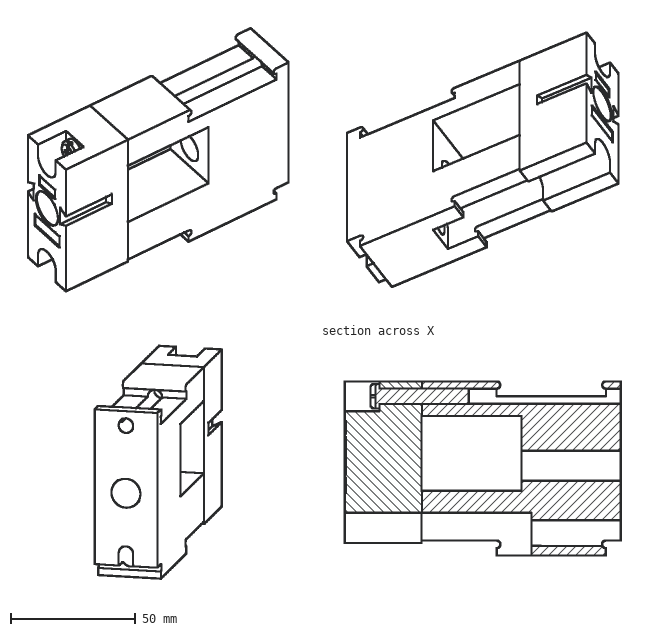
import cadquery as cq

WIDTH = 26.0
LENGTH = 111.0
HEIGHT = 70.0

COVER_DEPTH = 31.0
COVER_BOTTOM = 5.0

RAIL_DEPTH = 6.0
RAIL_FRONT = 61.0
RAIL_BACK = LENGTH - 6.0
BEAD_RADIUS = 1.5

WINDOW_DEPTH = 40.1
WINDOW_HEIGHT = 30.0
WINDOW_TOP = HEIGHT - 14.0
WINDOW_BOTTOM = WINDOW_TOP - WINDOW_HEIGHT
WINDOW_HOLE_DIAMETER = 12.0
WINDOW_HOLE_Z = WINDOW_BOTTOM + 10.0

SCREW_Z = HEIGHT - 6.0
SCREW_HOLE_DIAMETER = 6.0
SCREW_END = 50.0
SCREW_HEAD_DIAMETER = 10.0
SCREW_HEAD_HEIGHT = 3.7
SCREW_HEAD_CHAMFER = 1.0
DRIVE_WIDTH = 1.0
DRIVE_DEPTH = 2.0
DRIVE_CROSS_LENGTH = 4.0
ACCESS_WIDTH = 12.0
ACCESS_DEPTH = 14.0

LOWER_SLOT_Z = 11.1
LOWER_SLOT_DEPTH = RAIL_FRONT + ACCESS_DEPTH
CLEARANCE_WIDTH = 6.0
CLEARANCE_HEIGHT = 10.1

GROOVE_LENGTH = 22.9
GROOVE_DEPTH = 4.0
GROOVE_MOUTH = 5.0
GROOVE_FLOOR = 9.0
GROOVE_Z = HEIGHT - 27.5

LABEL_DEPTH = 0.5
LABEL_DIAMETER = 15.0
ROUND_LABEL_Z = HEIGHT - 30.0
UPPER_LABEL_SIZE = (11.0, 5.0)
UPPER_LABEL_Z = HEIGHT - 18.5
LOWER_LABEL_SIZE = (17.0, 6.0)
LOWER_LABEL_Z = HEIGHT - 41.8


def box(width, y_front, y_back, z_bottom, z_top):
    """Block centred on x = 0."""
    return cq.Workplane("XY").box(
        width, y_back - y_front, z_top - z_bottom, centered=(True, False, False)
    ).translate((0, y_front, z_bottom))


def front_sketch(y, z):
    """Sketch plane parallel to the front face; extruding by a negative length goes to +Y."""
    return cq.Workplane("XZ", origin=(0, y, z))


def cylinder(diameter, y_front, y_back, z):
    """Round bar along Y."""
    return front_sketch(y_front, z).circle(diameter / 2).extrude(y_front - y_back)


def lower_slot():
    """Arched slot, open at the bottom, running from the front through the cover into the foot."""
    arch = cylinder(ACCESS_WIDTH, 0, LOWER_SLOT_DEPTH, LOWER_SLOT_Z)
    return arch.union(box(ACCESS_WIDTH, 0, LOWER_SLOT_DEPTH, 0, LOWER_SLOT_Z))


def housing_profile():
    """Side outline: beaded rail slot on top, and a notched foot that fits such a slot."""
    bottom = RAIL_DEPTH
    rail_floor = HEIGHT - RAIL_DEPTH
    bead = 2 * BEAD_RADIUS
    return (
        cq.Workplane("YZ", origin=(-WIDTH / 2, 0, 0))
        .moveTo(COVER_DEPTH, bottom)
        .lineTo(RAIL_FRONT, bottom)
        .threePointArc((RAIL_FRONT + BEAD_RADIUS, bottom - BEAD_RADIUS), (RAIL_FRONT, bottom - bead))
        .lineTo(RAIL_FRONT, 0)
        .lineTo(RAIL_BACK, 0)
        .lineTo(RAIL_BACK, bottom - bead)
        .threePointArc((RAIL_BACK - BEAD_RADIUS, bottom - BEAD_RADIUS), (RAIL_BACK, bottom))
        .lineTo(LENGTH, bottom)
        .lineTo(LENGTH, HEIGHT)
        .lineTo(RAIL_BACK, HEIGHT)
        .threePointArc((RAIL_BACK - BEAD_RADIUS, HEIGHT - BEAD_RADIUS), (RAIL_BACK, HEIGHT - bead))
        .lineTo(RAIL_BACK, rail_floor)
        .lineTo(RAIL_FRONT, rail_floor)
        .lineTo(RAIL_FRONT, HEIGHT - bead)
        .threePointArc((RAIL_FRONT + BEAD_RADIUS, HEIGHT - BEAD_RADIUS), (RAIL_FRONT, HEIGHT))
        .lineTo(COVER_DEPTH, HEIGHT)
        .close()
    )


def make_housing():
    window_back = COVER_DEPTH + WINDOW_DEPTH
    window = box(WIDTH, COVER_DEPTH, window_back, WINDOW_BOTTOM, WINDOW_TOP)
    window_hole = cylinder(WINDOW_HOLE_DIAMETER, window_back, LENGTH, WINDOW_HOLE_Z)
    screw_hole = cylinder(SCREW_HOLE_DIAMETER, COVER_DEPTH, LENGTH, SCREW_Z)
    clearance_z = LOWER_SLOT_Z + CLEARANCE_WIDTH / 2 - CLEARANCE_HEIGHT / 2
    clearance_hole = (
        front_sketch(LOWER_SLOT_DEPTH, clearance_z)
        .slot2D(CLEARANCE_HEIGHT, CLEARANCE_WIDTH, 90)
        .extrude(LOWER_SLOT_DEPTH - LENGTH)
    )
    return (
        housing_profile().extrude(WIDTH)
        .cut(window)
        .cut(window_hole)
        .cut(screw_hole)
        .cut(lower_slot())
        .cut(clearance_hole)
    )


def side_groove(side):
    """Dovetail groove, open to the front; side is -1 for the left and +1 for the right."""
    outer = side * WIDTH / 2
    inner = side * (WIDTH / 2 - GROOVE_DEPTH)
    return (
        front_sketch(0, GROOVE_Z)
        .polyline([
            (outer, -GROOVE_MOUTH / 2),
            (outer, GROOVE_MOUTH / 2),
            (inner, GROOVE_FLOOR / 2),
            (inner, -GROOVE_FLOOR / 2),
        ])
        .close()
        .extrude(-GROOVE_LENGTH)
    )


def make_cover():
    cover = box(WIDTH, 0, COVER_DEPTH, COVER_BOTTOM, HEIGHT)

    cover = cover.cut(cylinder(ACCESS_WIDTH, 0, ACCESS_DEPTH, SCREW_Z))
    cover = cover.cut(box(ACCESS_WIDTH, 0, ACCESS_DEPTH, SCREW_Z, HEIGHT))
    cover = cover.cut(cylinder(SCREW_HOLE_DIAMETER, ACCESS_DEPTH, COVER_DEPTH, SCREW_Z))

    cover = cover.cut(lower_slot())
    for side in (-1, 1):
        cover = cover.cut(side_groove(side))

    cover = cover.cut(cylinder(LABEL_DIAMETER, 0, LABEL_DEPTH, ROUND_LABEL_Z))
    for size, z in ((UPPER_LABEL_SIZE, UPPER_LABEL_Z), (LOWER_LABEL_SIZE, LOWER_LABEL_Z)):
        cover = cover.cut(front_sketch(0, z).rect(*size).extrude(-LABEL_DEPTH))
    return cover


def make_screw():
    head_front = ACCESS_DEPTH - SCREW_HEAD_HEIGHT
    head = cylinder(SCREW_HEAD_DIAMETER, head_front, ACCESS_DEPTH, SCREW_Z)
    head = head.faces("<Y").chamfer(SCREW_HEAD_CHAMFER)
    shank = cylinder(SCREW_HOLE_DIAMETER, ACCESS_DEPTH, SCREW_END, SCREW_Z)
    drive = front_sketch(head_front, SCREW_Z)
    long_slot = drive.rect(DRIVE_WIDTH, SCREW_HEAD_DIAMETER).extrude(-DRIVE_DEPTH)
    cross_slot = drive.rect(DRIVE_CROSS_LENGTH, DRIVE_WIDTH).extrude(-DRIVE_DEPTH)
    return head.union(shank).cut(long_slot).cut(cross_slot)


housing = make_housing()
cover = make_cover()
screw = make_screw()

result = cq.Compound.makeCompound([housing.val(), cover.val(), screw.val()])